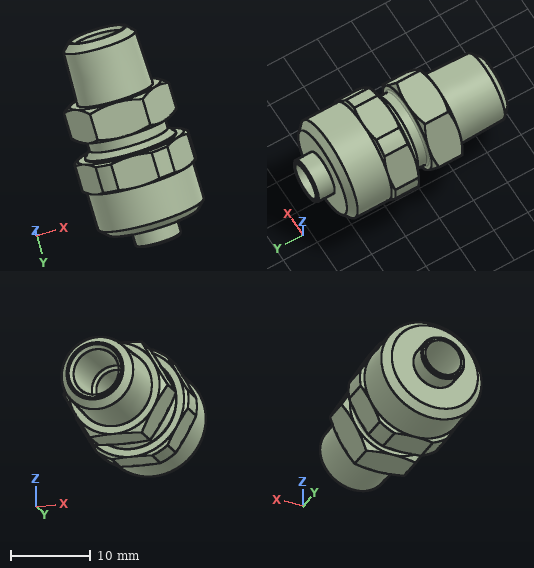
import cadquery as cq
import math

length = 27.5
thread_chamfer = 1.0
thread_length = 8.0
hex_end = 12.5
cone_end = 14.85
nut_start = 15.0
nut_end = 19.0
sleeve_end = 25.0
sleeve_chamfer = 1.0
tube_edge = 0.16

thread_tip_radius = 4.75
thread_root_radius = 4.98
neck_radius = 5.17
neck_fillet = 0.25
cone_radius = 6.0
hex_flats = 12.0
nut_flats = 14.0
nut_corner_diameter = 15.0
sleeve_radius = nut_flats / 2
tube_radius = 3.0
corner_chamfer_angle = 30.0

bore_radius = 2.5
entry_radius = 3.0
countersink_radius = 3.5
entry_depth = 8.0
drill_point_angle = 118.0


def revolve_profile(points):
    """Revolve (radius, Y) points about the Y axis."""
    return cq.Workplane("XY").polyline(points).close().revolve(360, (0, 0, 0), (0, 1, 0))


def chamfered_hexagon(start, end, flats, corner_radius):
    """Hexagon with corners on the X axis, turned to a radius and chamfered at both ends."""
    corner_diameter = flats / math.cos(math.radians(30))
    hexagon = (
        cq.Workplane("XZ", origin=(0, start, 0))
        .polygon(6, corner_diameter)
        .extrude(start - end)
    )
    face_radius = flats / 2
    rise = (corner_radius - face_radius) * math.tan(math.radians(corner_chamfer_angle))
    envelope = revolve_profile([
        (0, start),
        (face_radius, start),
        (corner_radius, start + rise),
        (corner_radius, end - rise),
        (face_radius, end),
        (0, end),
    ])
    return hexagon.intersect(envelope)


turned_body = revolve_profile([
    (0, 0),
    (thread_tip_radius - thread_chamfer, 0),
    (thread_tip_radius, thread_chamfer),
    (thread_root_radius, thread_length),
    (neck_radius, thread_length),
    (neck_radius, cone_end - (cone_radius - neck_radius)),
    (cone_radius, cone_end),
    (cone_radius, nut_end),
    (sleeve_radius, nut_end),
    (sleeve_radius, sleeve_end - sleeve_chamfer),
    (sleeve_radius - sleeve_chamfer, sleeve_end),
    (tube_radius, sleeve_end),
    (tube_radius, length - tube_edge),
    (tube_radius - tube_edge, length),
    (0, length),
])

arc_offset = neck_fillet * (1 - math.sqrt(0.5))
neck_fillet_ring = (
    cq.Workplane("XY")
    .moveTo(0, hex_end)
    .lineTo(neck_radius + neck_fillet, hex_end)
    .threePointArc(
        (neck_radius + arc_offset, hex_end + arc_offset),
        (neck_radius, hex_end + neck_fillet),
    )
    .lineTo(0, hex_end + neck_fillet)
    .close()
    .revolve(360, (0, 0, 0), (0, 1, 0))
)

hex_corner_radius = hex_flats / 2 / math.cos(math.radians(30))
body_hex = chamfered_hexagon(thread_length, hex_end, hex_flats, hex_corner_radius)
nut = chamfered_hexagon(nut_start, nut_end, nut_flats, nut_corner_diameter / 2)

shoulder_length = (entry_radius - bore_radius) / math.tan(math.radians(drill_point_angle / 2))
bore = revolve_profile([
    (0, 0),
    (countersink_radius, 0),
    (entry_radius, countersink_radius - entry_radius),
    (entry_radius, entry_depth),
    (bore_radius, entry_depth + shoulder_length),
    (bore_radius, length),
    (0, length),
])

result = turned_body.union(neck_fillet_ring).union(body_hex).union(nut).cut(bore)